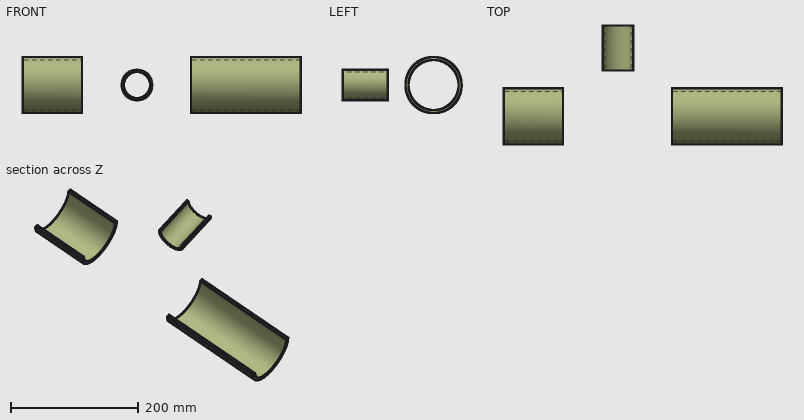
import cadquery as cq

total_length = 438.0
main_diameter = 89.0
main_wall = 5.3
left_length = 93.7
right_length = 173.0

branch_diameter = 48.0
branch_wall = 3.5
branch_length = 71.0
branch_x = 180.0
total_width = 187.5
branch_end_y = total_width - main_diameter / 2
branch_start_y = branch_end_y - branch_length


def tube(start, axis, diameter, wall, length):
    """Open tube from start along axis."""
    end_plane = cq.Plane(origin=start, normal=axis)
    outer_radius = diameter / 2
    return (
        cq.Workplane(end_plane)
        .circle(outer_radius)
        .circle(outer_radius - wall)
        .extrude(length)
    )


along_x = (1, 0, 0)
along_y = (0, 1, 0)

left_pipe = tube((0, 0, 0), along_x, main_diameter, main_wall, left_length)

right_start = (total_length - right_length, 0, 0)
right_pipe = tube(right_start, along_x, main_diameter, main_wall, right_length)

branch_start = (branch_x, branch_start_y, 0)
branch_pipe = tube(branch_start, along_y, branch_diameter, branch_wall, branch_length)

result = cq.Compound.makeCompound([left_pipe.val(), right_pipe.val(), branch_pipe.val()])